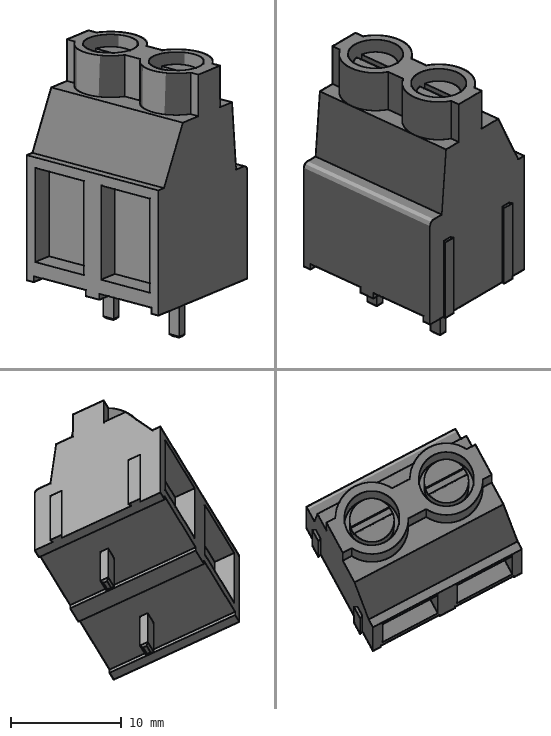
import cadquery as cq

way_count = 2
pitch = 7.63
body_width = way_count * pitch
body_depth = 12.85
total_height = 26.4

foot_bottom = 4.88
foot_height = 0.58
floor_height = foot_bottom + foot_height
front_ledge_height = 16.9
rear_ledge_height = 15.8
shoulder_height = 22.41
boss_height = total_height - shoulder_height

front_ledge_depth = 0.82
shoulder_front = 3.55
shoulder_rear = 10.67
rear_ledge_front = 11.25
rear_edge_radius = 0.53

side_foot_width = 0.82
middle_foot_width = 1.58

pocket_width = 5.65
pocket_bottom = 6.86
pocket_height = 9.03
pocket_depth = 2.0

screw_y = 7.37
boss_diameter = 6.6
web_thickness = 3.15
bore_diameter = 5.0
screw_diameter = 4.0
screw_recess = 1.0
screw_slot_width = 0.65
screw_slot_depth = 0.5

pin_y = 7.45
pin_width = 1.2
pin_thickness = 0.8
pin_chamfer = 0.2

rib_thickness = 0.3
rib_outer_width = 1.2
rib_root_width = 0.95
rib_top = 12.88
rib_centers_y = (2.5, 10.53)

way_centers_x = [(way + 0.5) * pitch for way in range(way_count)]


def box_between(x_range, y_range, z_range):
    """Box spanning the given (low, high) ranges."""
    size = [high - low for low, high in (x_range, y_range, z_range)]
    corner = (x_range[0], y_range[0], z_range[0])
    return cq.Workplane("XY").box(*size, centered=False).translate(corner)


def span(center, width):
    """Low and high ends of a width about its center."""
    return (center - width / 2, center + width / 2)


def make_housing():
    """Side profile swept across the width, with the rear top edge rounded."""
    profile = [
        (0, foot_bottom),
        (0, front_ledge_height),
        (front_ledge_depth, front_ledge_height),
        (shoulder_front, shoulder_height),
        (shoulder_rear, shoulder_height),
        (rear_ledge_front, rear_ledge_height),
        (body_depth, rear_ledge_height),
        (body_depth, foot_bottom),
    ]
    housing = cq.Workplane("YZ").polyline(profile).close().extrude(body_width)
    rear_edge = cq.selectors.NearestToPointSelector((body_width / 2, body_depth, rear_ledge_height))
    return housing.edges(rear_edge).fillet(rear_edge_radius)


def foot_gaps():
    """Channels under the housing, open front to rear, that leave the feet standing."""
    gaps = cq.Workplane("XY")
    for way in range(way_count):
        left_foot = side_foot_width if way == 0 else middle_foot_width / 2
        right_foot = side_foot_width if way == way_count - 1 else middle_foot_width / 2
        x_range = (way * pitch + left_foot, (way + 1) * pitch - right_foot)
        gaps = gaps.add(box_between(x_range, (0, body_depth), (foot_bottom, floor_height)))
    return gaps.combine()


def wire_pocket(x):
    """Rectangular wire entry in the front face."""
    z_range = (pocket_bottom, pocket_bottom + pocket_height)
    return box_between(span(x, pocket_width), (0, pocket_depth), z_range)


def upright_cylinder(x, diameter, height):
    """Cylinder on the screw axis, standing on the shoulder."""
    return cq.Workplane("XY", origin=(x, screw_y, shoulder_height)).circle(diameter / 2).extrude(height)


def make_screw(x):
    """Slotted screw head, sunk below the rim of its boss."""
    head_height = boss_height - screw_recess
    head_top = shoulder_height + head_height
    slot = box_between(
        span(x, screw_diameter),
        span(screw_y, screw_slot_width),
        (head_top - screw_slot_depth, head_top),
    )
    return upright_cylinder(x, screw_diameter, head_height).cut(slot)


def make_pin(x):
    """Rectangular solder pin with a chamfered tip."""
    pin = box_between(span(x, pin_width), span(pin_y, pin_thickness), (0, floor_height))
    return pin.faces("<Z").chamfer(pin_chamfer)


def make_rib(y):
    """Vertical rib on the left wall, wider at its outer face than at its root."""
    outline = [
        (0, y - rib_root_width / 2),
        (-rib_thickness, y - rib_outer_width / 2),
        (-rib_thickness, y + rib_outer_width / 2),
        (0, y + rib_root_width / 2),
    ]
    rib_height = rib_top - foot_bottom
    return cq.Workplane("XY", origin=(0, 0, foot_bottom)).polyline(outline).close().extrude(rib_height)


result = make_housing().cut(foot_gaps())

web = box_between((0, body_width), span(screw_y, web_thickness), (shoulder_height, total_height))
result = result.union(web)
for way_x in way_centers_x:
    result = result.union(upright_cylinder(way_x, boss_diameter, boss_height))

for way_x in way_centers_x:
    result = result.cut(upright_cylinder(way_x, bore_diameter, boss_height))
    result = result.union(make_screw(way_x))
    result = result.cut(wire_pocket(way_x))
    result = result.union(make_pin(way_x))

for rib_y in rib_centers_y:
    result = result.union(make_rib(rib_y))